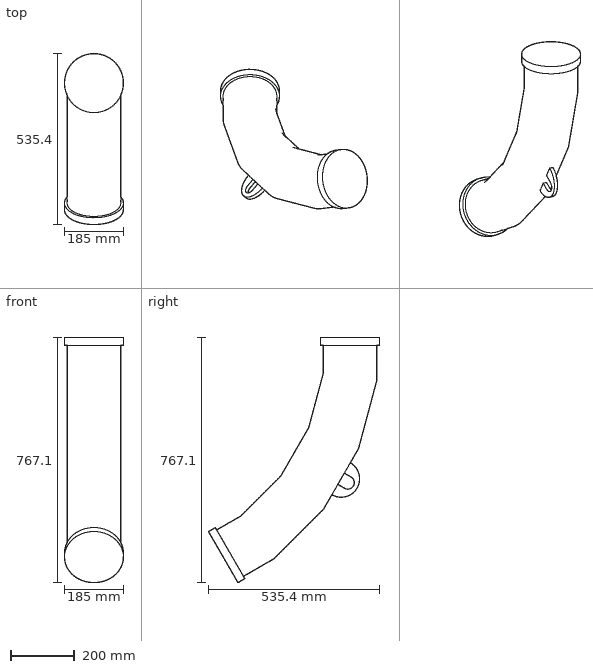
import cadquery as cq
import math

bend_radius = 750.0
bend_angle = 60.0
joint_count = 4
pipe_diameter = 168.3

flange_diameter = 185.0
flange_thickness = 25.0

lug_radius = 58.0
lug_thickness = 12.0
lug_root_depth = 20.0
eye_width = 40.0
eye_center_offset = 24.0

joint_angle = bend_angle / joint_count
joint_radius = bend_radius / math.cos(math.radians(joint_angle / 2))


def bend_point(radius, angle):
    """(Y, Z) of a point at a radius and turn angle about the bend centre."""
    turn = math.radians(angle)
    return (radius * math.cos(turn) - bend_radius, -radius * math.sin(turn))


def bend_plane(angle):
    """Plane across the bend, its normal pointing down the pipe's run from top to bottom."""
    y, z = bend_point(bend_radius, angle)
    turn = math.radians(angle)
    run = (0, -math.sin(turn), -math.cos(turn))
    return cq.Plane(origin=(0, y, z), xDir=(1, 0, 0), normal=run)


def make_pipe():
    """Solid pipe swept along straight segments with mitred joints."""
    joint_angles = [(i + 0.5) * joint_angle for i in range(joint_count)]
    path_points = [bend_point(bend_radius, 0)]
    path_points += [bend_point(joint_radius, angle) for angle in joint_angles]
    path_points.append(bend_point(bend_radius, bend_angle))
    path = cq.Workplane("YZ").polyline(path_points)
    section = cq.Workplane(bend_plane(0)).circle(pipe_diameter / 2)
    return section.sweep(path, transition="right")


def make_flange(angle, thickness):
    """Disc on the pipe end; the sign of the thickness sets its side along the run."""
    end_plane = bend_plane(angle)
    return cq.Workplane(end_plane).circle(flange_diameter / 2).extrude(thickness)


def make_round_ended_plate(plane, half_width, center_offset):
    """Plate as thick as the lug, from the sunken root to a half-round end centred at the offset."""
    return (
        cq.Workplane(plane)
        .moveTo(-lug_root_depth, -half_width)
        .lineTo(center_offset, -half_width)
        .threePointArc((center_offset + half_width, 0), (center_offset, half_width))
        .lineTo(-lug_root_depth, half_width)
        .close()
        .extrude(lug_thickness / 2, both=True)
    )


def make_lug():
    """Half-round plate on the pipe's outer side, with a round-ended eye open to the pipe."""
    mid_angle = bend_angle / 2
    turn = math.radians(mid_angle)
    y, z = bend_point(bend_radius + pipe_diameter / 2, mid_angle)
    outward = (0, math.cos(turn), -math.sin(turn))
    plane = cq.Plane(origin=(0, y, z), xDir=outward, normal=(1, 0, 0))
    plate = make_round_ended_plate(plane, lug_radius, 0)
    eye = make_round_ended_plate(plane, eye_width / 2, eye_center_offset)
    return plate.cut(eye)


result = (
    make_pipe()
    .union(make_flange(0, -flange_thickness))
    .union(make_flange(bend_angle, flange_thickness))
    .union(make_lug())
)